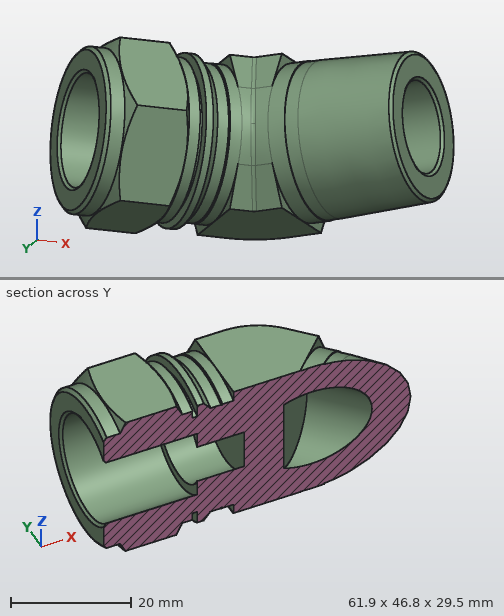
import cadquery as cq
import math

bend_angle = 45.0
overall_length = 61.9

block_flats = 26.95
tube_leg = 7.55
thread_leg = 8.3
outer_bend_radius = 15.5
inner_bend_radius = 1.0

collar_diameter = 28.2
collar_chamfer = 0.6
nut_flats = 28.5
nut_start = 3.1
nut_end = 14.55
nut_bevel_angle = 30.0
sleeve_diameter = 27.8
sleeve_end = 16.55
groove_diameter = 25.4
flange_diameter = 29.5
flange_start = 17.35
flange_end = 18.6
neck_diameter = 26.9
neck_start = 19.8
neck_end = 21.8
neck_line_diameter = 26.7
neck_line_width = 0.25

shoulder_end = 11.4
taper_start = 13.75
taper_large_diameter = 26.7
taper_small_diameter = 25.4
end_face_diameter = 24.2
thread_end = 30.65
thread_chamfer = 0.5

rim_reach = (
    (thread_end - thread_chamfer) * math.cos(math.radians(bend_angle))
    + taper_small_diameter / 2 * math.sin(math.radians(bend_angle))
)
elbow_x = overall_length - rim_reach

tube_diameter = 19.25
tube_depth = 17.35
passage_diameter = 15.7
tube_passage_end = 26.0
thread_passage_end = 6.2
bore_chamfer = 0.5


def revolve_x(stations):
    """Revolve a list of (x, diameter) stations about the X axis."""
    outline = [(x, diameter / 2) for x, diameter in stations]
    outline = [(stations[0][0], 0)] + outline + [(stations[-1][0], 0)]
    return cq.Workplane("XY").polyline(outline).close().revolve(360, (0, 0, 0), (1, 0, 0))


def along_thread(solid):
    """Move a solid built along X onto the axis of the threaded end."""
    return solid.rotate((0, 0, 0), (0, 0, 1), -bend_angle).translate((elbow_x, 0, 0))


def elbow_block():
    """Sweep the upper half section around a mitred bend, round it and mirror it."""
    radius = block_flats / 2
    corner = radius / math.cos(math.radians(30))
    angle = math.radians(bend_angle)
    start = elbow_x - tube_leg
    end = (elbow_x + thread_leg * math.cos(angle), -thread_leg * math.sin(angle))
    path = cq.Workplane("XY").polyline([(start, 0), (elbow_x, 0), end])

    tangent = (-radius * math.cos(math.radians(30)), radius / 2)
    arc_middle = (-radius * math.cos(math.radians(15)), radius * math.sin(math.radians(15)))
    section = (
        cq.Workplane("YZ", origin=(start, 0, 0))
        .moveTo(corner, 0)
        .lineTo(corner / 2, radius)
        .lineTo(-corner / 2, radius)
        .lineTo(*tangent)
        .threePointArc(arc_middle, (-radius, 0))
        .close()
    )
    half = section.sweep(path, transition="right")

    mitre_slope = math.tan(angle / 2)

    def mitre_point(y, z):
        return (elbow_x + y * mitre_slope, y, z)

    outer_edge = cq.selectors.NearestToPointSelector(mitre_point(0.75 * corner, radius / 2))
    half = half.edges(outer_edge).fillet(outer_bend_radius)
    inner_edge = cq.selectors.NearestToPointSelector(mitre_point(*arc_middle))
    half = half.edges(inner_edge).fillet(inner_bend_radius)
    return half.union(half.mirror("XY"))


def hex_nut():
    """Hexagonal nut with conical bevels at both ends."""
    corners = nut_flats / math.cos(math.radians(30))
    bevel = (corners - collar_diameter) / 2 * math.tan(math.radians(nut_bevel_angle))
    prism = (
        cq.Workplane("YZ", origin=(nut_start, 0, 0))
        .polygon(6, corners)
        .extrude(nut_end - nut_start)
    )
    envelope = revolve_x([
        (nut_start, collar_diameter),
        (nut_start + bevel, corners),
        (nut_end - bevel, corners),
        (nut_end, collar_diameter),
    ])
    return prism.intersect(envelope)


def tube_end():
    """Turned collar, sleeve, groove, flange and neck."""
    return revolve_x([
        (0, collar_diameter - 2 * collar_chamfer),
        (collar_chamfer, collar_diameter),
        (nut_start, collar_diameter),
        (nut_start, sleeve_diameter),
        (sleeve_end, sleeve_diameter),
        (sleeve_end, groove_diameter),
        (flange_start, groove_diameter),
        (flange_start, flange_diameter),
        (flange_end, flange_diameter),
        (neck_start, neck_diameter),
        (neck_end, neck_diameter),
        (neck_end, neck_line_diameter),
        (neck_end + neck_line_width, neck_line_diameter),
        (neck_end + neck_line_width, block_flats),
        (elbow_x - tube_leg, block_flats),
    ])


def thread_end_body():
    """Shoulder and tapered thread blank with a chamfered tip."""
    return along_thread(revolve_x([
        (thread_leg, block_flats),
        (shoulder_end, block_flats),
        (shoulder_end, taper_large_diameter),
        (taper_start, taper_large_diameter),
        (thread_end - thread_chamfer, taper_small_diameter),
        (thread_end, end_face_diameter),
    ]))


def tube_bore():
    """Tube socket and the narrower blind passage behind it."""
    return revolve_x([
        (0, tube_diameter + 2 * bore_chamfer),
        (bore_chamfer, tube_diameter),
        (tube_depth, tube_diameter),
        (tube_depth, passage_diameter),
        (tube_passage_end, passage_diameter),
    ])


def thread_bore():
    """Blind passage with a chamfered mouth."""
    return along_thread(revolve_x([
        (thread_passage_end, passage_diameter),
        (thread_end - bore_chamfer, passage_diameter),
        (thread_end, passage_diameter + 2 * bore_chamfer),
    ]))


body = elbow_block().union(tube_end()).union(hex_nut()).union(thread_end_body())
result = body.cut(tube_bore()).cut(thread_bore())